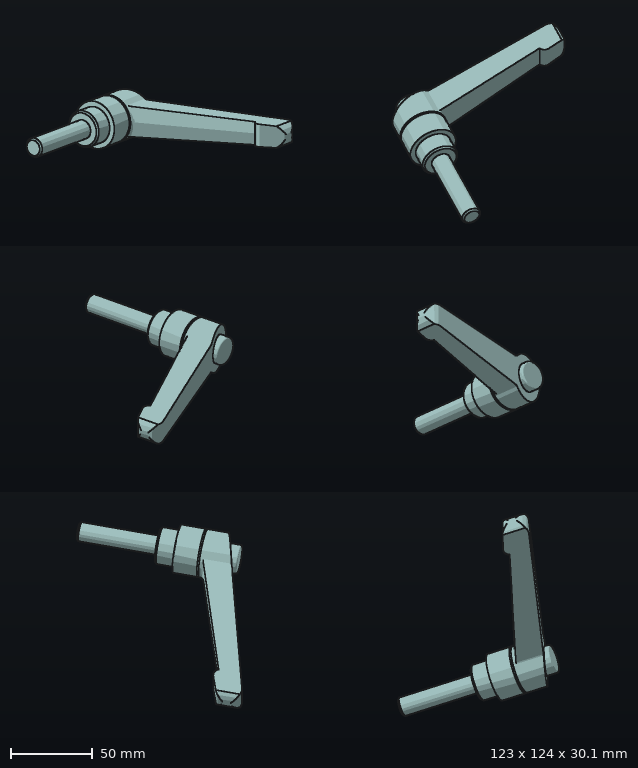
import cadquery as cq
import math

OVERALL_X = 123.0
OVERALL_Y = 124

HUB_RADIUS = 30.1 / 2
HUB_SHOULDER_LENGTH = 15.3
GROOVE_WIDTH = 1.1
GROOVE_DEPTH = 0.1
GROOVE_TOP_Y = HUB_SHOULDER_LENGTH + GROOVE_WIDTH

COLLAR_RADIUS = 11.5
COLLAR_LENGTH = 12.0
STUD_RADIUS = 12.0 / 2
CAP_RADIUS = 18.0 / 2
CAP_TOP_Y = 38.8
CAP_ROUND = 1.0
END_CHAMFER = 1.1

TOP_ANGLE = 16.1
TOP_AT_AXIS = 33.1

UNDERSIDE_ANGLE = 19.5
STOP_X = 88.9
STOP_Y = 44.9
STOP_END_X = 94.0
STOP_END_Y = 42.7
HEAD_UNDERSIDE_ANGLE = 20
RIDGE_DROP = 1.0

ROOT_HALF_THICKNESS = 10.2
TAPER = 0.031
TIP_X = OVERALL_X - HUB_RADIUS
TIP_ARC_X = 104.2
TIP_ROUND = 6.7
ARM_FILLET = 2.9


def top_y(x):
    return TOP_AT_AXIS + x * math.tan(math.radians(TOP_ANGLE))


def ridge_y(x):
    return STOP_Y + (x - STOP_X) * math.tan(math.radians(UNDERSIDE_ANGLE))


def half_thickness(x):
    return ROOT_HALF_THICKNESS - TAPER * x


def cylinder(radius, start_y, end_y):
    """Cylinder around the clamping axis; its seam lies on -X, away from the arm."""
    plane = cq.Plane(origin=(0, start_y, 0), xDir=(-1, 0, 0), normal=(0, 1, 0))
    return cq.Workplane(plane).circle(radius).extrude(end_y - start_y)


def make_upper_hub():
    height = top_y(HUB_RADIUS)
    hub = cylinder(HUB_RADIUS, GROOVE_TOP_Y, height)
    outline = (
        cq.Workplane("XY", origin=(0, 0, -HUB_RADIUS))
        .moveTo(-HUB_RADIUS, 0)
        .lineTo(HUB_RADIUS, 0)
        .lineTo(HUB_RADIUS, height)
        .lineTo(-HUB_RADIUS, top_y(-HUB_RADIUS))
        .close()
        .extrude(2 * HUB_RADIUS)
    )
    return hub.intersect(outline)


def arm_section(x, ridge_drop):
    """Corners of the arm at x: two on top, then edge, ridge and edge of the underside."""
    half = half_thickness(x)
    edge_y = ridge_y(x) + ridge_drop
    return [
        (x, top_y(x), half),
        (x, top_y(x), -half),
        (x, edge_y, -half),
        (x, ridge_y(x), 0),
        (x, edge_y, half),
    ]


def flat_face(*corners):
    outline = cq.Wire.makePolygon([cq.Vector(*corner) for corner in corners], close=True)
    return cq.Face.makeFromWires(outline)


def straight_edge(start, end):
    return cq.Edge.makeLine(cq.Vector(*start), cq.Vector(*end))


def make_shank():
    """Arm whose underside has a shallow ridge that fades out at the finger stop."""
    root = arm_section(0, RIDGE_DROP)
    end = arm_section(STOP_X, 0)
    top_front, top_back, edge_back, ridge, edge_front = range(len(root))
    faces = [flat_face(*root), flat_face(*end)]
    for first, second in ((top_front, top_back), (top_back, edge_back), (edge_front, top_front)):
        faces.append(flat_face(root[first], root[second], end[second], end[first]))
    for edge in (edge_back, edge_front):
        ridge_line = straight_edge(root[ridge], end[ridge])
        faces.append(cq.Face.makeRuledSurface(straight_edge(root[edge], end[edge]), ridge_line))
    shank = cq.Solid.makeSolid(cq.Shell.makeShell(faces)).fix()
    return cq.Workplane("XY").newObject([shank])


def make_head():
    """Arm end with the finger stop, rounded corners and a rounded nose."""
    slope = math.radians(HEAD_UNDERSIDE_ANGLE)
    underside_tip_y = STOP_END_Y + (TIP_X - STOP_END_X) * math.tan(slope)
    side_profile = (
        cq.Workplane("XY", origin=(0, 0, -ROOT_HALF_THICKNESS))
        .moveTo(STOP_X, top_y(STOP_X))
        .lineTo(TIP_X, top_y(TIP_X))
        .lineTo(TIP_X, underside_tip_y)
        .lineTo(STOP_END_X, STOP_END_Y)
        .tangentArcPoint((STOP_X, STOP_Y), relative=False)
        .close()
        .extrude(2 * ROOT_HALF_THICKNESS)
        .edges("|Z and >X")
        .fillet(TIP_ROUND)
    )
    start_half = half_thickness(STOP_X)
    end_half = half_thickness(TIP_ARC_X)
    plan_profile = (
        cq.Workplane("XZ")
        .moveTo(STOP_X, -start_half)
        .lineTo(TIP_ARC_X, -end_half)
        .threePointArc((TIP_X, 0), (TIP_ARC_X, end_half))
        .lineTo(STOP_X, start_half)
        .close()
        .extrude(-top_y(TIP_X))
    )
    return side_profile.intersect(plan_profile)


def joint_edges(body):
    """Edges where the flanks and underside of the arm leave the hub."""
    tolerance = 0.1

    def on_joint(edge):
        middle = edge.positionAt(0.5)
        on_hub = abs(math.hypot(middle.x, middle.z) - HUB_RADIUS) < tolerance
        below_top = middle.y < top_y(middle.x) - tolerance
        on_arm = middle.x > 0 and abs(middle.z) < half_thickness(middle.x) + tolerance
        return on_hub and below_top and on_arm and middle.y > GROOVE_TOP_Y + tolerance

    return [edge for edge in body.edges().vals() if on_joint(edge)]


def make_handle():
    body = make_upper_hub().union(make_shank())
    body = body.newObject(joint_edges(body)).fillet(ARM_FILLET)
    return body.union(make_head())


shoulder = cylinder(HUB_RADIUS, 0, HUB_SHOULDER_LENGTH)
groove_floor = cylinder(HUB_RADIUS - GROOVE_DEPTH, 0, GROOVE_TOP_Y)
corner_center_y = top_y(TIP_X - TIP_ROUND) - TIP_ROUND / math.cos(math.radians(TOP_ANGLE))
stud_tip_y = corner_center_y + TIP_ROUND - OVERALL_Y

collar = cylinder(COLLAR_RADIUS, 0, -COLLAR_LENGTH).faces("<Y").chamfer(END_CHAMFER)
stud = cylinder(STUD_RADIUS, 0, stud_tip_y).faces("<Y").chamfer(END_CHAMFER)
cap = cylinder(CAP_RADIUS, 0, CAP_TOP_Y).faces(">Y").edges().fillet(CAP_ROUND)

result = make_handle().union(groove_floor).union(shoulder).union(cap).union(collar).union(stud)